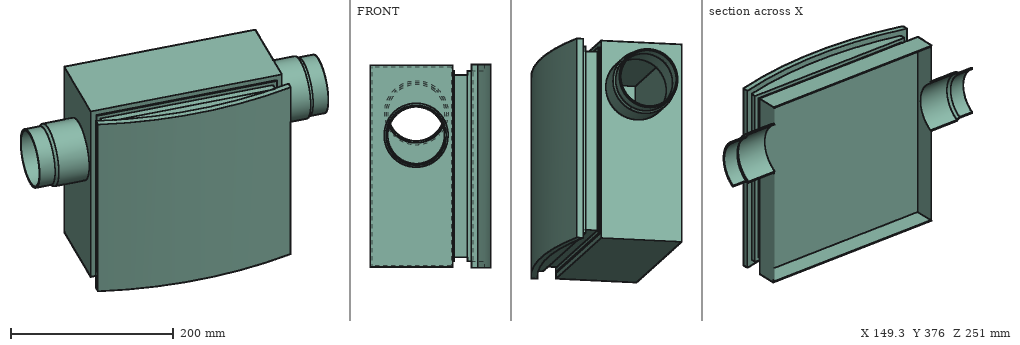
import cadquery as cq
box_depth = 102
box_side = 249
wall = 2

spigot_x = 56.75
spigot_tip_y = 188
tip_length = 20
taper_length = 4
spigot_wall = 2
spigot_outer_radius = 39.5
spigot_inner_radius = spigot_outer_radius - spigot_wall
tip_outer_radius = 37
tip_inner_radius = tip_outer_radius - spigot_wall
front_spigot_z = 38
rear_spigot_z = 66

flange_side = 235
flange_end = box_depth + 2
neck_side = 225
neck_end = 120
panel_side = 251
panel_thickness = 8
panel_radius = 492
panel_front = 149.32


def square_block(side, start, end):
    """Block with a square section in YZ, reaching from X = start to X = end."""
    return cq.Workplane("YZ").workplane(offset=start).rect(side, side).extrude(end - start)


def spigot_profile(base_y, main_radius, tip_radius):
    """Solid of revolution about Y, stepping down from the main radius to the tip radius."""
    taper_end = spigot_tip_y - tip_length
    taper_start = taper_end - taper_length
    return (
        cq.Workplane("YZ")
        .moveTo(base_y, 0)
        .lineTo(base_y, main_radius)
        .lineTo(taper_start, main_radius)
        .lineTo(taper_end, tip_radius)
        .lineTo(spigot_tip_y, tip_radius)
        .lineTo(spigot_tip_y, 0)
        .close()
        .revolve(360, (0, 0), (1, 0))
    )


def place_spigot(shape, side, z):
    """Move a spigot shape to the +Y (side = 1) or -Y (side = -1) face of the box."""
    if side < 0:
        shape = shape.mirror("XZ")
    return shape.translate((spigot_x, 0, z))


def make_housing():
    outer_y = box_side / 2
    inner_y = outer_y - wall
    cavity = square_block(box_side - 2 * wall, wall, box_depth - wall)
    housing = square_block(box_side, 0, box_depth).cut(cavity)
    for side, z in ((-1, front_spigot_z), (1, rear_spigot_z)):
        tube = spigot_profile(outer_y, spigot_outer_radius, tip_outer_radius)
        bore = spigot_profile(inner_y, spigot_inner_radius, tip_inner_radius)
        housing = housing.union(place_spigot(tube, side, z))
        housing = housing.cut(place_spigot(bore, side, z))
    return housing


def cylinder(radius):
    """Upright cylinder, concentric with the panel's curved faces."""
    return (
        cq.Workplane("XY")
        .workplane(offset=-panel_side / 2)
        .center(panel_front - panel_radius, 0)
        .circle(radius)
        .extrude(panel_side)
    )


def make_cover():
    outer = cylinder(panel_radius)
    inner = cylinder(panel_radius - panel_thickness)
    panel = square_block(panel_side, neck_end, panel_front).intersect(outer).cut(inner)
    backing = square_block(flange_side, neck_end, panel_front).intersect(inner)
    neck = square_block(neck_side, flange_end, neck_end)
    flange = square_block(flange_side, box_depth, flange_end)
    return panel.union(backing).union(neck).union(flange)


housing = make_housing()
cover = make_cover()

result = cq.Compound.makeCompound([housing.val(), cover.val()])